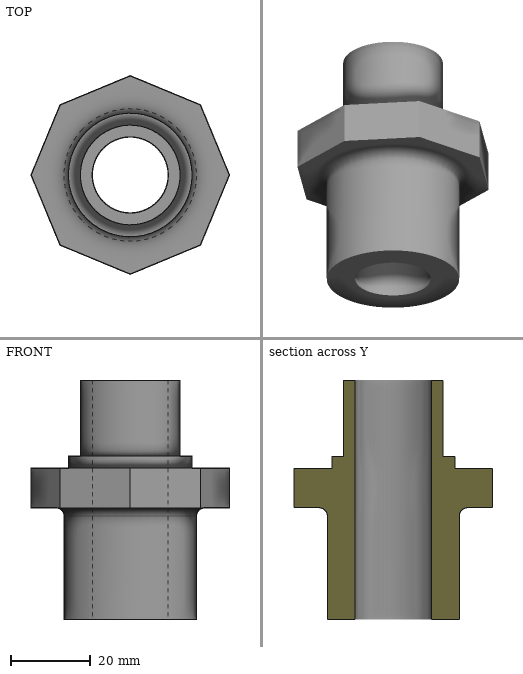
import cadquery as cq
import math

total_height = 60.0
nut_bottom = 28.0
nut_height = 10.0
collar_height = 3.0
nut_top = nut_bottom + nut_height
collar_top = nut_top + collar_height

bore_diameter = 19.0
upper_pipe_diameter = 25.0
collar_diameter = 31.0
lower_pipe_diameter = 33.25

nut_sides = 8
nut_across_flats = 46.0
nut_across_corners = nut_across_flats / math.cos(math.pi / nut_sides)

root_fillet = 2.0


def cylinder(diameter, bottom, top):
    """Solid cylinder on the Z axis between two heights."""
    return cq.Workplane("XY").workplane(offset=bottom).circle(diameter / 2).extrude(top - bottom)


def octagonal_nut():
    """Wrench body between the two pipe ends."""
    return (
        cq.Workplane("XY")
        .workplane(offset=nut_bottom)
        .polygon(nut_sides, nut_across_corners)
        .extrude(nut_height)
    )


def root_flare():
    """Concave fillet ring where the lower pipe meets the nut."""
    pipe_radius = lower_pipe_diameter / 2
    flare_radius = pipe_radius + root_fillet
    flare_bottom = nut_bottom - root_fillet
    arc_reach = root_fillet * (1 - math.sqrt(0.5))
    return (
        cq.Workplane("XZ")
        .moveTo(0, flare_bottom)
        .lineTo(pipe_radius, flare_bottom)
        .threePointArc(
            (pipe_radius + arc_reach, nut_bottom - arc_reach),
            (flare_radius, nut_bottom),
        )
        .lineTo(0, nut_bottom)
        .close()
        .revolve(360, (0, 0, 0), (0, 1, 0))
    )


lower_pipe = cylinder(lower_pipe_diameter, 0, nut_bottom)
collar = cylinder(collar_diameter, nut_top, collar_top)
upper_pipe = cylinder(upper_pipe_diameter, collar_top, total_height)
bore = cylinder(bore_diameter, 0, total_height)

body = lower_pipe.union(root_flare()).union(octagonal_nut()).union(collar).union(upper_pipe)
result = body.cut(bore)